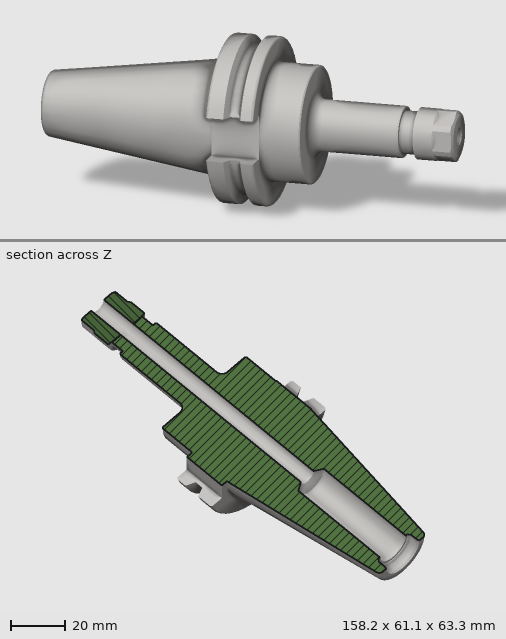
import cadquery as cq
import math

GAUGE_X = 68.4
FLANGE_START = 69.3
FLANGE_END = 87.5
COLLAR_END = 103.2
SHANK_END = 137.4
NUT_START = 143.0
NUT_END = 158.2

GAUGE_DIA = 44.5
TAPER_RATIO = 7 / 24
TAPER_END_FILLET = 1.7
FLANGE_DIA = 63.3
FLANGE_RIM_FILLET = 1.0
COLLAR_CHAMFER = 0.5
SHANK_DIA = 19.5
SHANK_ROOT_FILLET = 3.0
SHANK_END_CHAMFER_LENGTH = 0.8
SHANK_END_CHAMFER_DEPTH = 0.2
NECK_DIA = 16.1
ROOT_FILLET = 0.5

GROOVE_CENTRE = 79.5
GROOVE_FLOOR_DIA = 56.0
GROOVE_FLOOR_WIDTH = 3.5
GROOVE_MOUTH_WIDTH = 6.6

SLOT_WIDTH = 16.6
SLOT_FLOOR_FRONT = 22.5
SLOT_FLOOR_BACK = 25.0

MOUTH_DIA = 17.4
MOUTH_CHAMFER_LENGTH = 1.0
COUNTERBORE_DIA = 16.8
COUNTERBORE_DEPTH = 4.1
RECESS_DIA = 15.5
RECESS_DEPTH = 5.0
BORE_DIA = 13.5
BORE_DEPTH = 47.5
COOLANT_DIA = 6.6
DRILL_POINT_ANGLE = 118

NUT_DIA = SHANK_DIA
NUT_END_DIA = 15.5
NUT_END_CHAMFER = 0.8
FLATS_START = 150.3
FLATS_RUNOUT_SLOPE = 1.4
FLATS_COUNT = 6
ACROSS_FLATS = 17.9

CLEARANCE = 1.6


def corner_round(before, corner, after, radius):
    """Start, middle and end of the arc that rounds a corner between two straight sides."""
    to_before = (before - corner).normalized()
    to_after = (after - corner).normalized()
    bisector = (to_before + to_after).normalized()
    half_angle = to_before.getAngle(to_after) / 2
    setback = radius / math.tan(half_angle)
    middle_distance = radius / math.sin(half_angle) - radius
    return (
        corner + to_before * setback,
        corner + bisector * middle_distance,
        corner + to_after * setback,
    )


def revolve_about_x(points):
    """Turn a closed outline about the X axis.

    Each point is (x, radius), or (x, radius, corner radius) where the corner is rounded.
    """
    corners = [cq.Vector(point[0], point[1], 0) for point in points]
    outline = cq.Workplane("XY").moveTo(*points[0])
    for i in range(1, len(points)):
        if len(points[i]) == 2:
            outline = outline.lineTo(*points[i])
        else:
            next_corner = corners[(i + 1) % len(points)]
            start, middle, end = corner_round(corners[i - 1], corners[i], next_corner, points[i][2])
            outline = outline.lineTo(start.x, start.y).threePointArc(middle, end)
    return outline.close().revolve(360, (0, 0, 0), (1, 0, 0))


def holder_blank():
    """Taper, flange, collar, shank and neck as one turned solid."""
    gauge_r = GAUGE_DIA / 2
    taper_end_r = gauge_r - GAUGE_X * TAPER_RATIO / 2
    flange_r = FLANGE_DIA / 2
    shank_r = SHANK_DIA / 2
    neck_r = NECK_DIA / 2
    return revolve_about_x([
        (0, 0),
        (0, taper_end_r, TAPER_END_FILLET),
        (GAUGE_X, gauge_r),
        (FLANGE_START, gauge_r, ROOT_FILLET),
        (FLANGE_START, flange_r, FLANGE_RIM_FILLET),
        (FLANGE_END, flange_r, FLANGE_RIM_FILLET),
        (FLANGE_END, gauge_r, ROOT_FILLET),
        (COLLAR_END - COLLAR_CHAMFER, gauge_r),
        (COLLAR_END, gauge_r - COLLAR_CHAMFER),
        (COLLAR_END, shank_r, SHANK_ROOT_FILLET),
        (SHANK_END - SHANK_END_CHAMFER_LENGTH, shank_r),
        (SHANK_END, shank_r - SHANK_END_CHAMFER_DEPTH),
        (SHANK_END, neck_r),
        (NUT_START, neck_r),
        (NUT_START, 0),
    ])


def flange_groove():
    """V groove with a flat floor, as a ring to cut away."""
    mouth_r = FLANGE_DIA / 2
    floor_r = GROOVE_FLOOR_DIA / 2
    return revolve_about_x([
        (GROOVE_CENTRE - GROOVE_MOUTH_WIDTH / 2, mouth_r + CLEARANCE),
        (GROOVE_CENTRE - GROOVE_MOUTH_WIDTH / 2, mouth_r),
        (GROOVE_CENTRE - GROOVE_FLOOR_WIDTH / 2, floor_r, ROOT_FILLET),
        (GROOVE_CENTRE + GROOVE_FLOOR_WIDTH / 2, floor_r, ROOT_FILLET),
        (GROOVE_CENTRE + GROOVE_MOUTH_WIDTH / 2, mouth_r),
        (GROOVE_CENTRE + GROOVE_MOUTH_WIDTH / 2, mouth_r + CLEARANCE),
    ])


def drive_slot(floor_distance, side):
    """Slot through the flange and its root fillets on the +Y (side = 1) or -Y (side = -1) side."""
    length = FLANGE_END - FLANGE_START + 2 * ROOT_FILLET
    depth = FLANGE_DIA / 2 + CLEARANCE - floor_distance
    centre = ((FLANGE_START + FLANGE_END) / 2, side * (floor_distance + depth / 2), 0)
    return cq.Workplane("XY").box(length, depth, SLOT_WIDTH).translate(centre)


def holder_bore():
    """Stepped bore from the small end, narrowing to the coolant hole."""
    counterbore_r = COUNTERBORE_DIA / 2
    recess_r = RECESS_DIA / 2
    bore_r = BORE_DIA / 2
    coolant_r = COOLANT_DIA / 2
    step_chamfer = counterbore_r - recess_r
    point_length = (bore_r - coolant_r) / math.tan(math.radians(DRILL_POINT_ANGLE / 2))
    return revolve_about_x([
        (0, 0),
        (0, MOUTH_DIA / 2),
        (MOUTH_CHAMFER_LENGTH, counterbore_r),
        (COUNTERBORE_DEPTH, counterbore_r),
        (COUNTERBORE_DEPTH + step_chamfer, recess_r),
        (RECESS_DEPTH, recess_r),
        (RECESS_DEPTH, bore_r),
        (BORE_DEPTH, bore_r),
        (BORE_DEPTH + point_length, coolant_r),
        (NUT_START, coolant_r),
        (NUT_START, 0),
    ])


def make_holder():
    return (
        holder_blank()
        .cut(flange_groove())
        .cut(drive_slot(SLOT_FLOOR_FRONT, -1))
        .cut(drive_slot(SLOT_FLOOR_BACK, 1))
        .cut(holder_bore())
    )


def wrench_flats():
    """Material to cut away outside the hexagon, with a conical run-out at its inner end."""
    outer_r = NUT_DIA / 2
    inner_r = ACROSS_FLATS / 2 - CLEARANCE
    ring = revolve_about_x([
        (FLATS_START - CLEARANCE * FLATS_RUNOUT_SLOPE, outer_r + CLEARANCE),
        (FLATS_START + (outer_r - inner_r) * FLATS_RUNOUT_SLOPE, inner_r),
        (NUT_END + CLEARANCE, inner_r),
        (NUT_END + CLEARANCE, outer_r + CLEARANCE),
    ])
    across_corners = ACROSS_FLATS / math.cos(math.pi / FLATS_COUNT)
    hexagon = (
        cq.Workplane("YZ", origin=(NUT_START, 0, 0))
        .transformed(rotate=(0, 0, 180 / FLATS_COUNT))
        .polygon(FLATS_COUNT, across_corners)
        .extrude(NUT_END + CLEARANCE - NUT_START)
    )
    return ring.cut(hexagon)


def make_nut():
    nut_r = NUT_DIA / 2
    coolant_r = COOLANT_DIA / 2
    blank = revolve_about_x([
        (NUT_START, coolant_r),
        (NUT_START, nut_r),
        (NUT_END - NUT_END_CHAMFER, nut_r),
        (NUT_END, NUT_END_DIA / 2),
        (NUT_END, coolant_r),
    ])
    return blank.cut(wrench_flats())


holder = make_holder()
nut = make_nut()
result = cq.Compound.makeCompound([holder.val(), nut.val()])